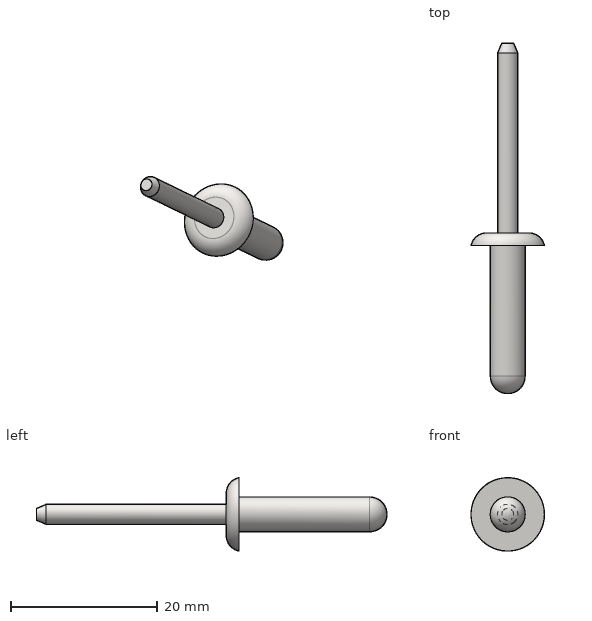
import cadquery as cq
import math

total_length = 47.9
body_radius = 2.4
nose_radius = body_radius
head_base_position = 20.2
head_radius = 5.05
head_flat_radius = 2.87
head_height = 1.75
stem_radius = 1.4
tip_radius = 0.8
tip_length = 1.35

nose_y = -total_length / 2
end_y = total_length / 2
head_base_y = nose_y + head_base_position
head_top_y = head_base_y + head_height
body_start_y = nose_y + nose_radius
taper_start_y = end_y - tip_length

edge_width = head_radius - head_flat_radius
edge_radius = (edge_width**2 + head_height**2) / (2 * head_height)
edge_center_y = head_top_y - edge_radius
edge_sweep = math.atan2(edge_width, head_base_y - edge_center_y)
edge_middle = (
    head_flat_radius + edge_radius * math.sin(edge_sweep / 2),
    edge_center_y + edge_radius * math.cos(edge_sweep / 2),
)

nose_middle = (
    nose_radius * math.sin(math.pi / 4),
    body_start_y - nose_radius * math.cos(math.pi / 4),
)

half_profile = (
    cq.Workplane("XY")
    .moveTo(0, nose_y)
    .threePointArc(nose_middle, (body_radius, body_start_y))
    .lineTo(body_radius, head_base_y)
    .lineTo(head_radius, head_base_y)
    .threePointArc(edge_middle, (head_flat_radius, head_top_y))
    .lineTo(stem_radius, head_top_y)
    .lineTo(stem_radius, taper_start_y)
    .lineTo(tip_radius, end_y)
    .lineTo(0, end_y)
    .close()
)

result = half_profile.revolve(360, (0, 0, 0), (0, 1, 0))